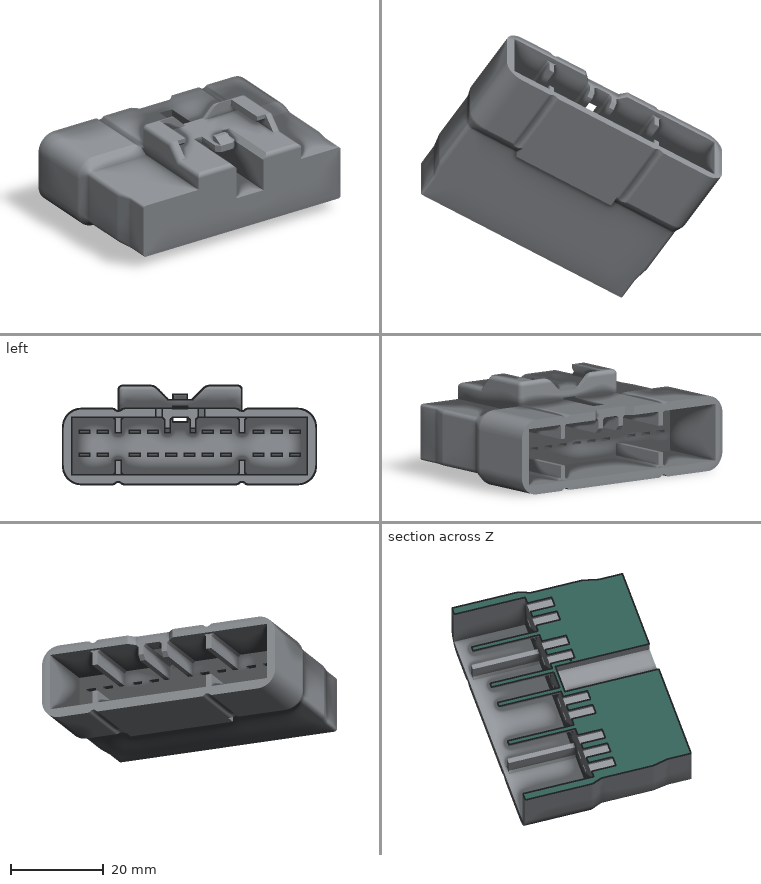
import cadquery as cq
import math

LENGTH = 38.0
WIDTH = 54.7
HEIGHT = 21.4

HOOD_HEIGHT = 16.4
HOOD_CORNER = 4.05
HOOD_END = 15.2
CAVITY_WIDTH = 50.85
CAVITY_FLOOR = 2.1
CAVITY_TOP = 14.5
CAVITY_DEPTH = 15.95

BODY_START = 17.5
BODY_WIDTH = 52.85
BODY_BOTTOM = 2.35
BODY_TOP = 14.65
BODY_CORNER = 1.0
TAPER_START = 29.2
TAPER_END = 32.65
REAR_WIDTH = 51.2
REAR_CORNER = 0.55
BREAK_SOFTENING = 0.2

LATCH_Y = 2.0
GROOVE_OFFSET = 13.35
GROOVE_RADIUS = 0.95
FOOT_HALF = 12.0

CRADLE_START = 15.95
CRADLE_FLOOR = 18.3
RAMP_START = 27.0
EDGE_ROUND = 1.0
LIP = 1.0
RAIL_WIDTH = 4.05
RAIL_WALL = 1.9
RAIL_UNDERSIDE = 19.75
RAIL_CHAMFER = 0.65
NOTCH_HALF_BOTTOM = 2.55
NOTCH_ROUND = 2.2

CHANNEL_START = 16.85
CHANNEL_OPENING = 23.2
CHANNEL_HALF = 3.5
CHANNEL_FLOOR = 9.85
CHANNEL_CHAMFER = 1.15
TONGUE_HALF = 2.5
TONGUE_END = 29.25
TONGUE_UNDERSIDE = 16.8
TUNNEL_START = 5.5
TUNNEL_FLOOR = 13.5
TUNNEL_HALF = 1.6
BUMP_START = 26.1
BUMP_FLAT = 1.0
BUMP_TOP = 19.55

MOUTH_NOTCH_DEPTH = 1.4
MOUTH_NOTCH_HALF = 5.3

RIB_WIDTH = 1.2
RIB_FLARE = 0.5
RIB_START = 1.0
ROOF_RIB_BOTTOM = 11.15
FLOOR_RIB_TOP = 5.25
CENTRE_RIB_OFFSET = 2.75
CENTRE_RIB_CHAMFER = 1.05

SLOT_WIDTH = 2.3
SLOT_THICKNESS = 0.65
SLOT_DEPTH = 5.45
SLOT_PITCH = 3.95
SLOT_ROWS = (6.45, 11.4)
SLOT_GROUPS = ((22.65, 2), (11.8, 6), (-14.9, 3))

OVERLAP = 0.55

ARC_ANGLE = math.radians(45)
HALF_ARC_ANGLE = ARC_ANGLE / 2


def box(x0, x1, y0, y1, z0, z1):
    return cq.Workplane("XY").box(x1 - x0, y1 - y0, z1 - z0, centered=False).translate((x0, y0, z0))


def latch_box(x0, x1, half_width, z0, z1):
    return box(x0, x1, LATCH_Y - half_width, LATCH_Y + half_width, z0, z1)


def extrude_along_x(outline, x0, x1):
    """Extrude a closed (y, z) polygon between two X positions."""
    return cq.Workplane("YZ", origin=(x0, 0, 0)).polyline(outline).close().extrude(x1 - x0)


def rounded_section(x, width, z0, z1, radius):
    wire = cq.Workplane("XY").rect(width, z1 - z0).extrude(0.55).edges("|Z").fillet(radius)
    wire = wire.faces("<Z").wires().val()
    plane = cq.Plane(origin=(x, 0, (z0 + z1) / 2), xDir=(0, 1, 0), normal=(1, 0, 0))
    return wire.moved(plane.location)


def soften_breaks(stations):
    """Replace each inner station by two, so its outline break becomes two gentler ones."""

    def toward(start, end):
        share = BREAK_SOFTENING / abs(end[0] - start[0])
        return tuple(a + share * (b - a) for a, b in zip(start, end))

    softened = [stations[0]]
    for before, station, after in zip(stations, stations[1:], stations[2:]):
        softened.append(toward(station, before))
        softened.append(toward(station, after))
    return softened + [stations[-1]]


def make_shell():
    """Hood, sloping shoulder and tapered body as one stepped solid."""
    stations = [
        (0, WIDTH, 0, HOOD_HEIGHT, HOOD_CORNER),
        (HOOD_END, WIDTH, 0, HOOD_HEIGHT, HOOD_CORNER),
        (BODY_START, BODY_WIDTH, BODY_BOTTOM, BODY_TOP, BODY_CORNER),
        (TAPER_START, BODY_WIDTH, BODY_BOTTOM, BODY_TOP, BODY_CORNER),
        (TAPER_END, REAR_WIDTH, BODY_BOTTOM, BODY_TOP, REAR_CORNER),
        (LENGTH, REAR_WIDTH, BODY_BOTTOM, BODY_TOP, REAR_CORNER),
    ]
    sections = [rounded_section(*station) for station in soften_breaks(stations)]
    return cq.Workplane(obj=cq.Solid.makeLoft(sections, True))


def make_groove(y, z_surface, inward):
    """Shallow S-sided groove along the hood; inward is the Z direction of the cut."""
    run = GROOVE_RADIUS * math.sin(ARC_ANGLE)
    drop = GROOVE_RADIUS * (1 - math.cos(ARC_ANGLE))
    mid_run = GROOVE_RADIUS * math.sin(HALF_ARC_ANGLE)
    mid_drop = GROOVE_RADIUS * (1 - math.cos(HALF_ARC_ANGLE))

    def at(dy, depth):
        return (y + dy, z_surface + inward * depth)

    profile = (
        cq.Workplane("YZ", origin=(-OVERLAP, 0, 0))
        .moveTo(*at(-2 * run, 0))
        .threePointArc(at(mid_run - 2 * run, mid_drop), at(-run, drop))
        .threePointArc(at(0, 2 * drop), at(run, drop))
        .threePointArc(at(2 * run - mid_run, mid_drop), at(2 * run, 0))
        .lineTo(*at(2 * run, -OVERLAP))
        .lineTo(*at(-2 * run, -OVERLAP))
        .close()
    )
    return profile.extrude(BODY_START + OVERLAP)


def make_cradle():
    ramp_end = RAMP_START + HEIGHT - CRADLE_FLOOR
    cradle = (
        cq.Workplane("XZ", origin=(0, LATCH_Y + GROOVE_OFFSET, 0))
        .moveTo(CRADLE_START, TUNNEL_FLOOR)
        .lineTo(CRADLE_START, HEIGHT)
        .lineTo(RAMP_START, HEIGHT)
        .lineTo(ramp_end, CRADLE_FLOOR)
        .lineTo(LENGTH, CRADLE_FLOOR)
        .lineTo(LENGTH, TUNNEL_FLOOR)
        .close()
        .extrude(2 * GROOVE_OFFSET)
    )
    above_body = cq.selectors.BoxSelector(
        (0, -WIDTH, BODY_TOP), (LENGTH + OVERLAP, WIDTH, HEIGHT + OVERLAP)
    )
    side_edges = cradle.faces("<Y or >Y").edges(above_body).edges("not(>X)").vals()
    end_edges = cradle.edges("|Y").edges("(<X or >X) and (not <Z)").vals()
    cradle = cradle.newObject(side_edges + end_edges).fillet(EDGE_ROUND)

    pocket_start = CRADLE_START + LIP
    pocket_half = GROOVE_OFFSET - RAIL_WALL
    cradle = cradle.cut(latch_box(pocket_start, ramp_end, pocket_half, CRADLE_FLOOR, HEIGHT))
    cradle = cradle.cut(make_lip_notch())

    flange_width = RAIL_WIDTH - RAIL_WALL
    flange = box(pocket_start, RAMP_START, -OVERLAP, flange_width, RAIL_UNDERSIDE, HEIGHT)
    flange = flange.edges("|Y and >X and <Z").chamfer(RAIL_CHAMFER)
    flange = flange.translate((0, LATCH_Y - pocket_half, 0))
    mirrored = flange.mirror("XZ", (0, LATCH_Y, 0))
    return cradle.union(flange).union(mirrored)


def make_lip_notch():
    """45-degree notch through the front lip, rounded over at its upper corners."""
    rise = HEIGHT - CRADLE_FLOOR
    tangent = NOTCH_ROUND * math.tan(HALF_ARC_ANGLE)
    diagonal = tangent * math.sin(ARC_ANGLE)
    corner = NOTCH_HALF_BOTTOM + rise
    arc_mid = (
        corner + tangent - NOTCH_ROUND * math.sin(HALF_ARC_ANGLE),
        HEIGHT - NOTCH_ROUND * (1 - math.cos(HALF_ARC_ANGLE)),
    )
    outer = corner + tangent
    return (
        cq.Workplane("YZ", origin=(CRADLE_START - OVERLAP, LATCH_Y, 0))
        .moveTo(-NOTCH_HALF_BOTTOM, CRADLE_FLOOR)
        .lineTo(NOTCH_HALF_BOTTOM, CRADLE_FLOOR)
        .lineTo(corner - diagonal, HEIGHT - diagonal)
        .threePointArc(arc_mid, (outer, HEIGHT))
        .lineTo(outer, HEIGHT + OVERLAP)
        .lineTo(-outer, HEIGHT + OVERLAP)
        .lineTo(-outer, HEIGHT)
        .threePointArc((-arc_mid[0], arc_mid[1]), (diagonal - corner, HEIGHT - diagonal))
        .close()
        .extrude(LIP + OVERLAP)
    )


def make_channel():
    """Clearance under the latch, opening upwards at the rear with bevelled upper edges."""
    bevel_bottom = CRADLE_FLOOR - CHANNEL_CHAMFER
    top_half = CHANNEL_HALF + CHANNEL_CHAMFER
    right_side = [
        (LATCH_Y + CHANNEL_HALF, CHANNEL_FLOOR),
        (LATCH_Y + CHANNEL_HALF, bevel_bottom),
        (LATCH_Y + top_half, CRADLE_FLOOR),
    ]
    left_side = [(2 * LATCH_Y - y, z) for y, z in reversed(right_side)]
    opening = extrude_along_x(right_side + left_side, CHANNEL_OPENING, LENGTH)
    covered = latch_box(CHANNEL_START, LENGTH, CHANNEL_HALF, CHANNEL_FLOOR, TONGUE_UNDERSIDE)
    return opening.union(covered)


def make_tongue():
    tongue = latch_box(CHANNEL_OPENING - OVERLAP, TONGUE_END, TONGUE_HALF, TONGUE_UNDERSIDE, CRADLE_FLOOR)
    tongue = tongue.edges("|Z and >X").chamfer(TONGUE_HALF - TUNNEL_HALF)
    bump = (
        cq.Workplane("XZ", origin=(0, LATCH_Y + TUNNEL_HALF, 0))
        .moveTo(BUMP_START, TONGUE_UNDERSIDE)
        .lineTo(BUMP_START, BUMP_TOP)
        .lineTo(BUMP_START + BUMP_FLAT, BUMP_TOP)
        .lineTo(TONGUE_END, CRADLE_FLOOR)
        .lineTo(TONGUE_END, TONGUE_UNDERSIDE)
        .close()
        .extrude(2 * TUNNEL_HALF)
    )
    return tongue.union(bump)


def make_mouth_notch():
    inner_half = MOUTH_NOTCH_HALF - MOUTH_NOTCH_DEPTH
    return (
        cq.Workplane("XY", origin=(0, LATCH_Y, CAVITY_TOP))
        .polyline([
            (0, -MOUTH_NOTCH_HALF),
            (MOUTH_NOTCH_DEPTH, -inner_half),
            (MOUTH_NOTCH_DEPTH, inner_half),
            (0, MOUTH_NOTCH_HALF),
        ])
        .close()
        .extrude(HOOD_HEIGHT - CAVITY_TOP)
    )


def make_rib(y, root_z, tip_z, start):
    """Guide rib from a cavity wall at root_z to tip_z, flared at its root."""
    inward = math.copysign(1, tip_z - root_z)
    half = RIB_WIDTH / 2
    outline = [
        (y - half, tip_z),
        (y - half, root_z + inward * RIB_FLARE),
        (y - half - RIB_FLARE, root_z),
        (y - half - RIB_FLARE, root_z - inward * OVERLAP),
        (y + half + RIB_FLARE, root_z - inward * OVERLAP),
        (y + half + RIB_FLARE, root_z),
        (y + half, root_z + inward * RIB_FLARE),
        (y + half, tip_z),
    ]
    return extrude_along_x(outline, start, CAVITY_DEPTH + OVERLAP)


def make_slots():
    columns = [first - i * SLOT_PITCH for first, count in SLOT_GROUPS for i in range(count)]
    lower_z, upper_z = SLOT_ROWS
    places = [(y, lower_z) for y in columns]
    places += [(y, upper_z) for y in columns if abs(y - LATCH_Y) > SLOT_PITCH]
    return (
        cq.Workplane("YZ", origin=(CAVITY_DEPTH, 0, 0))
        .pushPoints(places)
        .rect(SLOT_WIDTH, SLOT_THICKNESS)
        .extrude(SLOT_DEPTH)
    )


groove_positions = [LATCH_Y + side * GROOVE_OFFSET for side in (-1, 1)]

part = make_shell()
block_start = HOOD_END - OVERLAP
part = part.union(latch_box(block_start, BODY_START, GROOVE_OFFSET, BODY_BOTTOM, HOOD_HEIGHT))
part = part.union(latch_box(block_start, BODY_START, FOOT_HALF, 0, BODY_TOP))
for y in groove_positions:
    part = part.cut(make_groove(y, HOOD_HEIGHT, -1))
    part = part.cut(make_groove(y, 0, 1))
part = part.union(make_cradle())

half_cavity = CAVITY_WIDTH / 2
part = part.cut(box(0, CAVITY_DEPTH, -half_cavity, half_cavity, CAVITY_FLOOR, CAVITY_TOP))
part = part.cut(make_mouth_notch())
for y in groove_positions:
    part = part.union(make_rib(y, CAVITY_TOP, ROOF_RIB_BOTTOM, RIB_START))
    part = part.union(make_rib(y, CAVITY_FLOOR, FLOOR_RIB_TOP, RIB_START))
for side in (-1, 1):
    rib = make_rib(LATCH_Y + side * CENTRE_RIB_OFFSET, CAVITY_TOP, ROOF_RIB_BOTTOM, MOUTH_NOTCH_DEPTH)
    part = part.union(rib.edges("|Y and <X and <Z").chamfer(CENTRE_RIB_CHAMFER))
part = part.cut(make_slots())

part = part.cut(latch_box(TUNNEL_START, CHANNEL_START, TUNNEL_HALF, TUNNEL_FLOOR, TONGUE_UNDERSIDE))
part = part.cut(make_channel())
result = part.union(make_tongue())